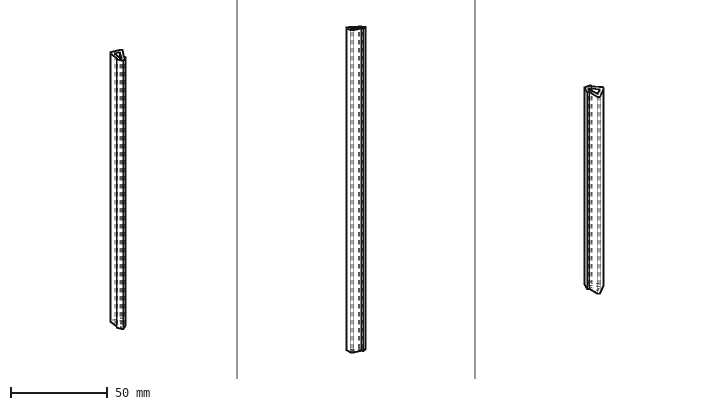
import cadquery as cq

length = 173.0
width = 8.8
corner_arm = 3.6
ledge = 0.95
tip_near = 4.2
tip_far = 9.5
tip_radius = 1.0

cavity_wall = 1.5
cavity_neck = 2.0
cavity_near = 4.5
cavity_far = 6.5

corner_x = width / 2
corner_y = -width / 2


def symmetric_prism(corner, half_outline):
    """Extrude a section from its diagonal corner and one half of its outline.

    Points are (distance left of, distance above) the square corner.
    """
    mirrored = [(above, left) for left, above in reversed(half_outline)]
    outline = [corner] + half_outline + mirrored
    points = [(corner_x - left, corner_y + above) for left, above in outline]
    return (
        cq.Workplane("XY")
        .workplane(offset=-length / 2)
        .polyline(points)
        .close()
        .extrude(length)
    )


strip = symmetric_prism(
    (0, 0),
    [(0, corner_arm), (ledge, corner_arm), (tip_near, tip_far)],
)

for left, above in [(tip_near, tip_far), (tip_far, tip_near)]:
    tip = (corner_x - left, corner_y + above, 0)
    strip = strip.edges(cq.selectors.NearestToPointSelector(tip)).fillet(tip_radius)

cavity = symmetric_prism(
    (cavity_wall, cavity_wall),
    [(cavity_wall, cavity_neck), (cavity_near, cavity_far)],
)

result = strip.cut(cavity)